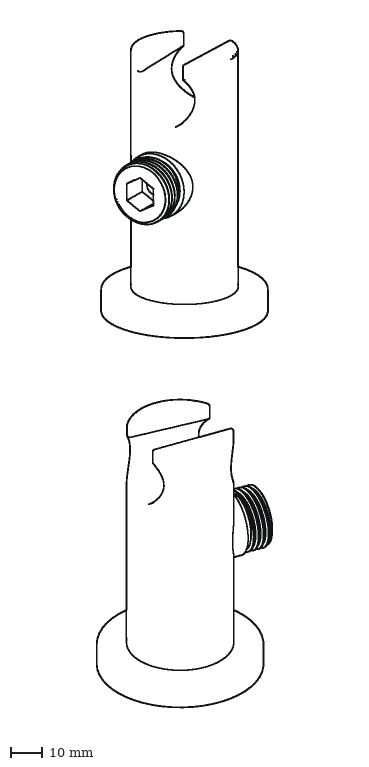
import cadquery as cq
import math

total_height = 89.3
edge_round = 1.0

flange_radius = 26.8
flange_thickness = 8.1

body_radius = 17.2

cradle_axis_depth = 12.5
cradle_front_radius = 10.45
cradle_back_radius = 11.3
mouth_front_half_width = 7.5
mouth_back_half_width = 8.3

nozzle_height = 47.9
nozzle_end = 28.3
collar_radius = 10.9
collar_end = 18.9
neck_radius = 9.4

thread_pitch = 1.8
thread_crest_radius = 10.4
thread_root_width = 1.4
thread_crest_width = 0.3
helix_start = 19.5
thread_start = 20.7
thread_end_radius = 9.55
thread_end_bevel = 0.5
thread_overlap = 0.2

socket_across_flats = 9.8
socket_depth = 9.8
hole_radius = 3.2


def front_plane(distance):
    """Plane at Y = -distance on the nozzle axis, with its normal toward -Y."""
    return cq.Workplane("XZ", origin=(0, -distance, nozzle_height))


def make_cradle_cutter():
    axis_height = total_height - cradle_axis_depth
    bore = cq.Workplane(
        cq.Solid.makeCone(
            cradle_front_radius,
            cradle_back_radius,
            2 * body_radius,
            pnt=cq.Vector(0, -body_radius, axis_height),
            dir=cq.Vector(0, 1, 0),
        )
    )
    mouth = (
        cq.Workplane("XY", origin=(0, 0, axis_height))
        .polyline([
            (-mouth_front_half_width, -body_radius),
            (mouth_front_half_width, -body_radius),
            (mouth_back_half_width, body_radius),
            (-mouth_back_half_width, body_radius),
        ])
        .close()
        .extrude(cradle_axis_depth)
    )
    return bore.union(mouth)


def make_body():
    """Body with the cradle cut and every exposed edge of its upper end rounded."""
    column = cq.Workplane("XY").circle(body_radius).extrude(total_height)
    cradled = column.cut(make_cradle_cutter())
    outer_edges = []
    for edge in cradled.edges().vals():
        middle = edge.positionAt(0.5)
        on_surface = math.hypot(middle.x, middle.y) > body_radius - 0.01
        on_top = middle.z > total_height - 0.01
        is_seam = edge.geomType() == "LINE" and abs(middle.y) < 0.01 and on_surface
        if middle.z > nozzle_height and (on_top or on_surface) and not is_seam:
            outer_edges.append(edge)
    return cradled.newObject(outer_edges).fillet(edge_round)


def make_flange():
    return (
        cq.Workplane("XY")
        .circle(flange_radius)
        .extrude(flange_thickness)
        .faces(">Z")
        .edges()
        .fillet(edge_round)
    )


def make_thread():
    """Helical ridge, cut square where it starts and running past the nozzle end."""
    length = nozzle_end - helix_start + thread_pitch
    root = neck_radius - thread_overlap
    path = cq.Wire.makeHelix(thread_pitch, length, neck_radius)
    ridge = (
        cq.Workplane("XZ")
        .polyline([
            (root, -thread_root_width / 2),
            (thread_crest_radius, -thread_crest_width / 2),
            (thread_crest_radius, thread_crest_width / 2),
            (root, thread_root_width / 2),
        ])
        .close()
        .sweep(cq.Workplane(path), isFrenet=True)
    )
    placed = (
        ridge.rotate((0, 0, 0), (0, 0, 1), 180)
        .rotate((0, 0, 0), (1, 0, 0), 90)
        .translate((0, -helix_start, nozzle_height))
    )
    runout = front_plane(0).circle(2 * collar_radius).extrude(thread_start)
    return placed.cut(runout)


def make_nozzle_envelope():
    """Revolved limit of the threaded neck: flat at the nozzle end, with a bevelled rim."""
    profile = (
        cq.Workplane("XY")
        .polyline([
            (0, 0),
            (collar_radius, 0),
            (collar_radius, -nozzle_end + 2 * thread_end_bevel),
            (thread_crest_radius, -nozzle_end + thread_end_bevel),
            (thread_end_radius, -nozzle_end),
            (0, -nozzle_end),
        ])
        .close()
    )
    return profile.revolve(360, (0, 0), (0, 1)).translate((0, 0, nozzle_height))


def make_nozzle():
    neck = front_plane(0).circle(neck_radius).extrude(nozzle_end + 2 * thread_pitch)
    threaded_neck = neck.union(make_thread()).intersect(make_nozzle_envelope())
    collar = front_plane(0).circle(collar_radius).extrude(collar_end)
    return threaded_neck.union(collar)


def make_socket_cutter():
    across_corners = socket_across_flats / math.cos(math.pi / 6)
    hexagon = (
        front_plane(nozzle_end)
        .transformed(rotate=(0, 0, 90))
        .polygon(6, across_corners)
        .extrude(-socket_depth)
    )
    hole = front_plane(0).circle(hole_radius).extrude(nozzle_end)
    return hexagon.union(hole)


result = (
    make_body()
    .union(make_flange())
    .union(make_nozzle())
    .cut(make_socket_cutter())
)